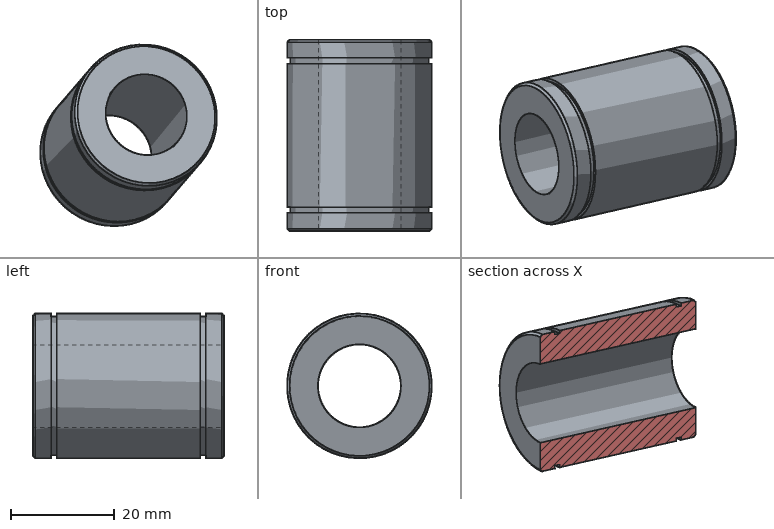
import cadquery as cq

length = 37.0
outer_diameter = 28.0
bore_diameter = 16.0
edge_chamfer = 0.48

groove_diameter = 26.85
groove_width = 1.07
end_land = 3.55


def cylinder_along_y(diameter, height, center_y=0.0):
    """Solid cylinder on the Y axis, centred at center_y."""
    plane = cq.Workplane("XZ", origin=(0, center_y + height / 2, 0))
    return plane.circle(diameter / 2).extrude(height)


def ring_groove(center_y):
    """Ring of material to remove for one groove."""
    cutter = cylinder_along_y(outer_diameter + groove_width, groove_width, center_y)
    core = cylinder_along_y(groove_diameter, groove_width, center_y)
    return cutter.cut(core)


sleeve = cylinder_along_y(outer_diameter, length)
sleeve = sleeve.faces("<Y or >Y").edges().chamfer(edge_chamfer)
sleeve = sleeve.cut(cylinder_along_y(bore_diameter, length))

groove_offset = length / 2 - end_land - groove_width / 2
for side in (-1, 1):
    sleeve = sleeve.cut(ring_groove(side * groove_offset))

result = sleeve